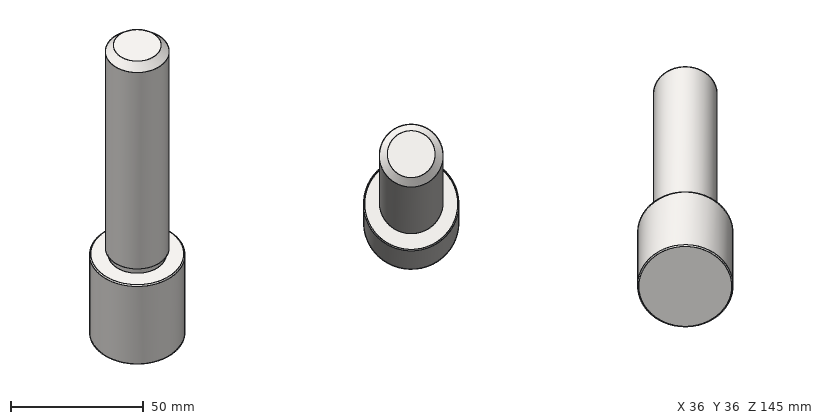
import cadquery as cq

total_length = 145.0
head_diameter = 36.0
head_height = 40.0
shank_diameter = 24.0

neck_diameter = 22.0
neck_height = 3.0

head_chamfer = 0.5
tip_chamfer = 3.0

head = cq.Workplane("XY").circle(head_diameter / 2).extrude(head_height)
head = head.faces("<Z or >Z").chamfer(head_chamfer)

neck = cq.Workplane("XY").workplane(offset=head_height).circle(neck_diameter / 2).extrude(neck_height)

shank_start = head_height + neck_height
shank = (
    cq.Workplane("XY")
    .workplane(offset=shank_start)
    .circle(shank_diameter / 2)
    .extrude(total_length - shank_start)
    .faces(">Z")
    .chamfer(tip_chamfer)
)

result = head.union(neck).union(shank)